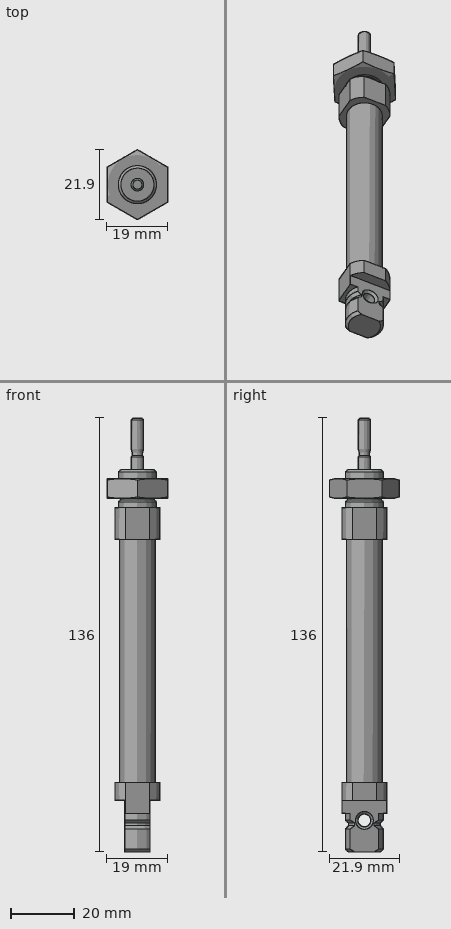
import cadquery as cq
import math

total_length = 136.0
thread_diameter = 12.0

rod_diameter = 4.0
rod_tip_chamfer = 0.5
rod_neck_diameter = 3.3
rod_neck_top_z = 126.3
rod_neck_taper_end_z = 125.1
rod_neck_bottom_z = 123.9
rod_bottom_z = 98.0

tube_diameter = 11.3
head_flats = 14.1
head_diameter = 16.0
head_bottom_z = rod_bottom_z
head_top_z = 108.0
front_thread_top_z = 120.0
front_thread_chamfer = 0.8
relief_diameter = 10.6
relief_taper = (thread_diameter - relief_diameter) / 2
relief_bottom_z = 109.8

cap_top_z = 21.9
cap_shoulder_z = 16.2
cap_bottom_z = 12.1
tongue_thickness = 8.0

groove_diameter = 10.0
groove_top_z = 10.0
groove_neck_top_z = 9.1
groove_neck_bottom_z = 8.3
groove_bottom_z = 7.2
end_chamfer = (thread_diameter - groove_diameter) / 2

pivot_hole_diameter = 4.0
pivot_countersink_diameter = 5.6
pivot_hole_z = 9.9

nut_flats = 19.0
nut_corners = nut_flats / math.cos(math.radians(30))
nut_bottom_z = 110.8
nut_top_z = 117.1
nut_face_diameter = 18.4
nut_chamfer_angle = 15.0


def turned(profile):
    """Revolve a list of (radius, z) points, bottom to top, about the Z axis."""
    bottom_z = profile[0][1]
    top_z = profile[-1][1]
    outline = [(0, bottom_z), *profile, (0, top_z)]
    return cq.Workplane("XZ").polyline(outline).close().revolve(360, (0, 0), (0, 1))


def cylinder(diameter, bottom_z, top_z):
    return cq.Workplane("XY").workplane(offset=bottom_z).circle(diameter / 2).extrude(top_z - bottom_z)


def block(width, depth, bottom_z, top_z):
    return cq.Workplane("XY").workplane(offset=bottom_z).rect(width, depth).extrude(top_z - bottom_z)


def four_flat_block(bottom_z, top_z):
    """Round block with four flats."""
    round_stock = cylinder(head_diameter, bottom_z, top_z)
    return round_stock.intersect(block(head_flats, head_flats, bottom_z, top_z))


def make_rod():
    radius = rod_diameter / 2
    neck_radius = rod_neck_diameter / 2
    shoulder = radius - neck_radius
    return turned([
        (radius, rod_bottom_z),
        (radius, rod_neck_bottom_z),
        (neck_radius, rod_neck_bottom_z + shoulder),
        (neck_radius, rod_neck_taper_end_z),
        (radius, rod_neck_top_z),
        (radius, total_length - rod_tip_chamfer),
        (radius - rod_tip_chamfer, total_length),
    ])


def make_front_thread():
    radius = thread_diameter / 2
    relief_radius = relief_diameter / 2
    return turned([
        (radius, head_top_z),
        (radius, relief_bottom_z),
        (relief_radius, relief_bottom_z + relief_taper),
        (relief_radius, nut_bottom_z),
        (radius, nut_bottom_z),
        (radius, front_thread_top_z - front_thread_chamfer),
        (radius - front_thread_chamfer, front_thread_top_z),
    ])


def make_rear_thread():
    radius = thread_diameter / 2
    groove_radius = groove_diameter / 2
    return turned([
        (radius - end_chamfer, 0),
        (radius, end_chamfer),
        (radius, groove_bottom_z),
        (groove_radius, groove_neck_bottom_z),
        (groove_radius, groove_neck_top_z),
        (radius, groove_top_z),
        (radius, cap_bottom_z),
    ])


def make_pivot_hole():
    """Cross hole along X, countersunk on both sides of the tongue."""
    radius = pivot_hole_diameter / 2
    rim_radius = pivot_countersink_diameter / 2
    sink_depth = rim_radius - radius
    face_x = tongue_thickness / 2
    outline = [
        (-face_x, 0),
        (-face_x, rim_radius),
        (-face_x + sink_depth, radius),
        (face_x - sink_depth, radius),
        (face_x, rim_radius),
        (face_x, 0),
    ]
    cutter = cq.Workplane("XY").polyline(outline).close().revolve(360, (0, 0), (1, 0))
    return cutter.translate((0, 0, pivot_hole_z))


def make_rear_cap():
    lower_part = four_flat_block(cap_bottom_z, cap_shoulder_z).union(make_rear_thread())
    tongue = lower_part.intersect(block(tongue_thickness, head_diameter, 0, cap_shoulder_z))
    return four_flat_block(cap_shoulder_z, cap_top_z).union(tongue).cut(make_pivot_hole())


def make_cylinder_body():
    body = cylinder(tube_diameter, cap_top_z, head_bottom_z)
    body = body.union(make_rear_cap())
    body = body.union(four_flat_block(head_bottom_z, head_top_z))
    body = body.union(make_front_thread())
    return body.cut(cylinder(rod_diameter, rod_bottom_z, front_thread_top_z))


def make_nut():
    """Hexagon nut with its corners turned off conically at both faces."""
    face_radius = nut_face_diameter / 2
    corner_radius = nut_corners / 2
    chamfer_depth = (corner_radius - face_radius) * math.tan(math.radians(nut_chamfer_angle))
    thickness = nut_top_z - nut_bottom_z
    hexagon = (
        cq.Workplane("XY").workplane(offset=nut_bottom_z)
        .polygon(6, nut_corners).extrude(thickness)
        .rotate((0, 0, 0), (0, 0, 1), 30)
    )
    corner_envelope = turned([
        (face_radius, nut_bottom_z),
        (corner_radius, nut_bottom_z + chamfer_depth),
        (corner_radius, nut_top_z - chamfer_depth),
        (face_radius, nut_top_z),
    ])
    return hexagon.intersect(corner_envelope).cut(cylinder(thread_diameter, nut_bottom_z, nut_top_z))


rod = make_rod()
cylinder_body = make_cylinder_body()
nut = make_nut()

result = cq.Compound.makeCompound([cylinder_body.val(), rod.val(), nut.val()])